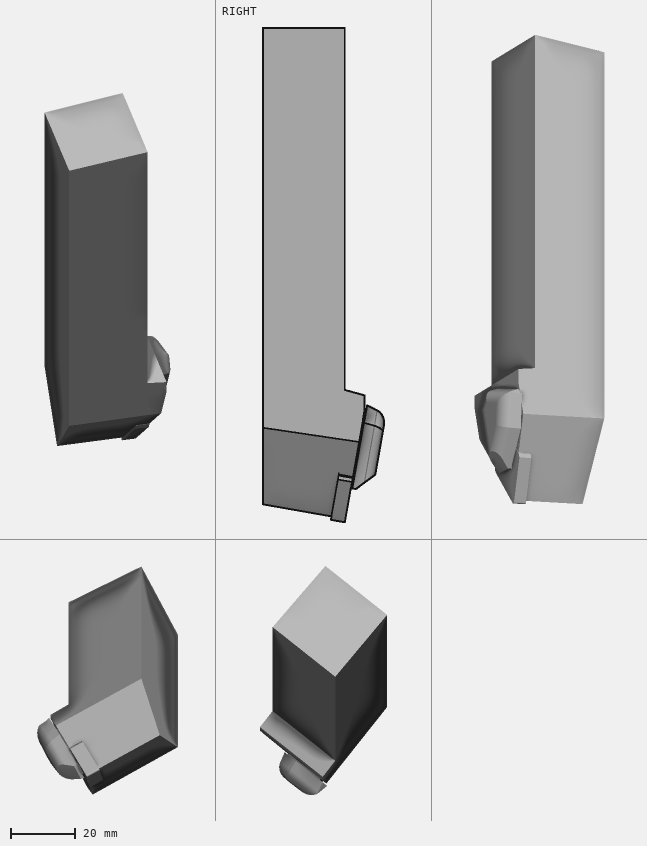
import cadquery as cq
import math

shank_width = 25.0
side_relief = 0.5
shank_depth = 25.3
overall_height = 152.4

lean_angle = 10.0
head_depth = 31.4
shoulder_low_z = 39.2
shoulder_high_z = 40.8
tip_angle = 55.0
tip_y = 25.3
tip_x = 12.42
tip_setback = 1.0
cutter_reach = 91.5

insert_thickness = 4.4
insert_half_length = 13.3
insert_tip_radius = 0.5
pocket_clearance = 0.2
insert_corner_flat = 1.2

clamp_gap = 0.5
clamp_height = 6.2
wall_taper = 14.0
crown_radius = 4.0
nose_slope_start = 16.2
nose_end = 10.7
nose_end_height = 1.0
heel_setback = 1.2
heel_right = 1.5
pad_left = -2.1
heel_low = 16.0
heel_bend = 25.3
heel_high = 32.0
heel_embed = 1.5

half_tip = math.radians(tip_angle / 2)


def lean_back(shape):
    """Place a shape modelled with the insert tip at the origin and its face on Y = 0."""
    return shape.rotate((0, 0, 0), (1, 0, 0), -lean_angle).translate((tip_x, tip_y, 0))


def slab(outline, y_low, y_high):
    """Extrude an XZ outline between two Y levels."""
    return cq.Workplane("XZ", origin=(0, y_low, 0)).polyline(outline).close().extrude(y_low - y_high)


def make_blank():
    """Shank and thicker head, with the +X side relieved towards -Y."""
    profile = [
        (0, -cutter_reach / 2), (head_depth, -cutter_reach / 2),
        (head_depth, shoulder_low_z), (shank_depth, shoulder_high_z),
        (shank_depth, overall_height), (0, overall_height),
    ]
    blank = cq.Workplane("YZ").polyline(profile).close().extrude(shank_width)
    section = [
        (0, 0), (shank_width - side_relief, 0),
        (shank_width, head_depth), (0, head_depth),
    ]
    envelope = (
        cq.Workplane("XY", origin=(0, 0, -cutter_reach / 2))
        .polyline(section).close().extrude(overall_height + cutter_reach)
    )
    return blank.intersect(envelope)


def trim_to_point(blank):
    """Keep the part of the blank inside the leaning V and behind the leaning face."""
    flank_top = cutter_reach / 2
    flank_x = flank_top * math.tan(half_tip)
    far_z = overall_height + cutter_reach
    keep = [
        (0, tip_setback), (flank_x, tip_setback + flank_top),
        (flank_x, far_z), (-flank_x, far_z), (-flank_x, tip_setback + flank_top),
    ]
    return blank.intersect(lean_back(slab(keep, -cutter_reach, 0)))


def insert_outline():
    """Rhombus with the acute tip at the origin and blunted side corners."""
    low = insert_half_length - insert_corner_flat / 2
    high = insert_half_length + insert_corner_flat / 2
    sharp_drop = insert_tip_radius * (1 / math.sin(half_tip) - 1)
    half_width = (low + sharp_drop) * math.tan(half_tip)
    return [
        (0, -sharp_drop), (half_width, low), (half_width, high),
        (0, 2 * insert_half_length + sharp_drop), (-half_width, high), (-half_width, low),
    ]


def make_insert():
    body = slab(insert_outline(), -insert_thickness, 0)
    body = body.edges("|Y").edges("<Z").fillet(insert_tip_radius)
    return lean_back(body)


def make_pocket():
    """Recess that takes the insert, with clearance around its sides."""
    body = slab(insert_outline(), -insert_thickness, 0)
    wider = body.faces("<Y").wires().toPending().workplane().offset2D(pocket_clearance)
    return lean_back(wider.extrude(-insert_thickness))


def clamp_outline():
    """Footprint relative to the insert tip; its point towards the tip is cut back later."""
    return [
        (-14.5, 32.3), (-2.5, 36.7), (2.9, 31.2),
        (2.9, 4.3), (-10.5, 20.7),
    ]


def heel_outline():
    """Footprint of the heel: parallel to the -X side, then to the flank, up to the +X clamp side."""
    left = heel_setback - tip_x
    low_left = left + (heel_bend - heel_low) * math.tan(half_tip)
    return [
        (left, heel_bend), (left, heel_high), (heel_right, heel_high),
        (heel_right, heel_low), (low_left, heel_low),
    ]


def make_clamp():
    """Rounded, tapered clamp, and the inset heel that leaves a narrow slit above the head face."""
    foot = cq.Workplane("XZ", origin=(0, clamp_gap, 0)).polyline(clamp_outline()).close()
    clamp = foot.extrude(-clamp_height, taper=wall_taper)
    clamp = clamp.faces(">Y").edges().fillet(crown_radius)
    nose_cut = [
        (clamp_gap + clamp_height, nose_slope_start), (clamp_gap + nose_end_height, nose_end),
        (0, nose_end), (0, 0), (clamp_gap + clamp_height, 0),
    ]
    clamp = clamp.cut(cq.Workplane("YZ").polyline(nose_cut).close().extrude(cutter_reach / 2, both=True))
    corner_cut = [(-13.7, 31.0), (-12.0, 33.7), (-13.7, 38.1), (-18.3, 33.5)]
    clamp = clamp.cut(slab(corner_cut, 0, cutter_reach))
    heel = slab(heel_outline(), -heel_embed, clamp_gap)
    pad_outline = [
        (pad_left, nose_end), (heel_right, nose_end),
        (heel_right, heel_low), (pad_left, heel_low),
    ]
    pad = slab(pad_outline, 0, clamp_gap)
    clamp = clamp.union(pad)
    return lean_back(clamp), lean_back(heel)


def make_holder():
    clamp, heel = make_clamp()
    return trim_to_point(make_blank()).union(heel).cut(make_pocket()).union(clamp)


holder = make_holder()
insert = make_insert()
result = cq.Compound.makeCompound([holder.val(), insert.val()])